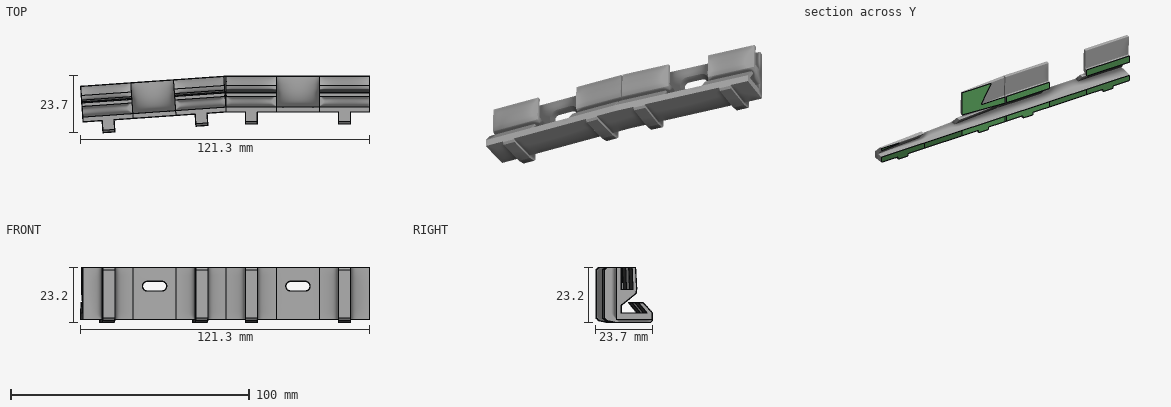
import cadquery as cq
import math


TOTAL_LENGTH = 121.3
BEND_ANGLE = 4.0

HEIGHT = 22.0
DEPTH = 15.0
PLATE_THICKNESS = 2.1
FLOOR_THICKNESS = 2.9

bend = math.radians(BEND_ANGLE)
arm_length = (TOTAL_LENGTH - DEPTH * math.sin(bend)) / (1 + math.cos(bend))
CLIP_LENGTH = 21.1
bracket_length = arm_length - 2 * CLIP_LENGTH

LIP_TOP = 7.2
LIP_TIP_BACK = 11.2
LIP_TIP_FRONT = 9.2
LIP_ROOT_FRONT = 12.7

SLOT_FLOOR = 12.7
WALL_FRONT_TOP = 6.5
WALL_FRONT_BOTTOM = 6.9
WALL_BACK_TOP = 8.0
WALL_BULGE_BACK = 8.5
WALL_BULGE_HEIGHT = 13.0
WALL_FOOT_BACK = 8.2
WALL_FOOT_HEIGHT = 11.0
ARM_ROOT_HEIGHT = 6.1

RIB_WIDTH = 5.1
RIB_PROJECTION = 5.1
RIB_DROP = 1.2
RIB_CHAMFER = 1.1
RIB_KNEE_DROP = 0.4
RIB_BACK_CHAMFER = 0.8

SCREW_SLOT_LENGTH = 10.1
SCREW_SLOT_WIDTH = 4.0
SCREW_SLOT_HEIGHT = 14.1
SCREW_SLOT_FLARE = 1.5


def extrude_along_arm(points, start, length):
    """Extrude a closed (y, z) outline along x."""
    return cq.Workplane("YZ").workplane(offset=start).polyline(points).close().extrude(length)


def l_section(start, length):
    """Front plate with a floor behind it."""
    outline = [
        (0, 0),
        (DEPTH, 0),
        (DEPTH, FLOOR_THICKNESS),
        (PLATE_THICKNESS, FLOOR_THICKNESS),
        (PLATE_THICKNESS, HEIGHT),
        (0, HEIGHT),
    ]
    return extrude_along_arm(outline, start, length)


def lip(start):
    outline = [
        (DEPTH, FLOOR_THICKNESS),
        (LIP_TIP_BACK, LIP_TOP),
        (LIP_TIP_FRONT, LIP_TOP),
        (LIP_ROOT_FRONT, FLOOR_THICKNESS),
    ]
    return extrude_along_arm(outline, start, CLIP_LENGTH)


def slot_wall(start):
    """Sloping arm off the plate, ending in a slightly leaning upright wall."""
    outline = [
        (PLATE_THICKNESS, ARM_ROOT_HEIGHT),
        (WALL_FOOT_BACK, WALL_FOOT_HEIGHT),
        (WALL_BULGE_BACK, WALL_BULGE_HEIGHT),
        (WALL_BACK_TOP, HEIGHT),
        (WALL_FRONT_TOP, HEIGHT),
        (WALL_FRONT_BOTTOM, SLOT_FLOOR),
        (PLATE_THICKNESS, SLOT_FLOOR),
    ]
    return extrude_along_arm(outline, start, CLIP_LENGTH)


def rib(start):
    """Rib centred on the clip, wrapping the front of the plate and the underside of the floor."""
    front = -RIB_PROJECTION
    outline = [
        (0, HEIGHT),
        (front + RIB_CHAMFER, HEIGHT),
        (front, HEIGHT - RIB_CHAMFER),
        (front, RIB_CHAMFER - RIB_KNEE_DROP),
        (front + RIB_CHAMFER, -RIB_KNEE_DROP),
        (0, -RIB_DROP),
        (DEPTH - RIB_BACK_CHAMFER, -RIB_DROP),
        (DEPTH, RIB_BACK_CHAMFER - RIB_DROP),
        (DEPTH, 0),
        (0, 0),
    ]
    return extrude_along_arm(outline, start + (CLIP_LENGTH - RIB_WIDTH) / 2, RIB_WIDTH)


def make_clip(start):
    body = l_section(start, CLIP_LENGTH)
    return body.union(lip(start)).union(slot_wall(start)).union(rib(start))


def make_bracket(start):
    flare_angle = math.degrees(math.atan(SCREW_SLOT_FLARE / PLATE_THICKNESS))
    screw_slot = (
        cq.Workplane("XZ")
        .center(start + bracket_length / 2, SCREW_SLOT_HEIGHT)
        .slot2D(SCREW_SLOT_LENGTH, SCREW_SLOT_WIDTH)
        .extrude(-PLATE_THICKNESS, taper=-flare_angle)
    )
    return l_section(start, bracket_length).cut(screw_slot)


def make_wedge():
    """Triangular L-shaped filler between the ends of the two arms."""

    def corner(depth, height):
        back_corner = (-depth * math.sin(bend), depth * math.cos(bend))
        return cq.Workplane("XY").polyline([(0, 0), (0, depth), back_corner]).close().extrude(height)

    return corner(DEPTH, FLOOR_THICKNESS).union(corner(PLATE_THICKNESS, HEIGHT))


def bent_arm(body):
    """Turn a body whose x is negative onto the bent arm."""
    return body.rotate((0, 0, 0), (0, 0, 1), BEND_ANGLE)


far_clip_start = CLIP_LENGTH + bracket_length

clips = [make_clip(start) for start in (0, far_clip_start)]
clips += [bent_arm(make_clip(start - arm_length)) for start in (0, far_clip_start)]

brackets = [make_bracket(CLIP_LENGTH), bent_arm(make_bracket(CLIP_LENGTH - arm_length))]

wedge = make_wedge()

result = cq.Compound.makeCompound([body.val() for body in [*clips, *brackets, wedge]])